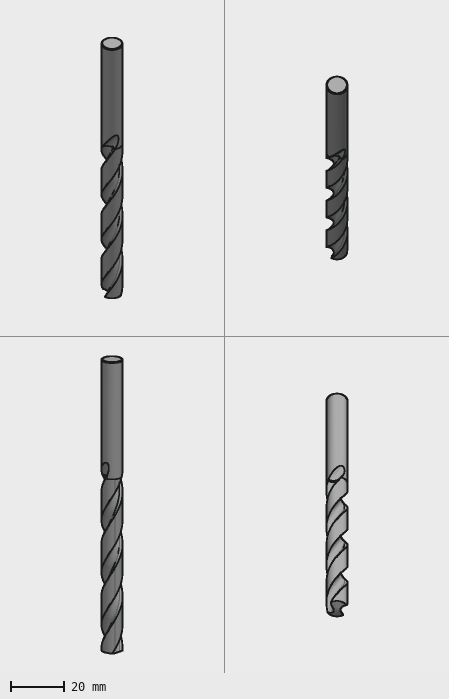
import cadquery as cq
import math

total_length = 116.0
diameter = 8.0
bit_length = 70.0
flute_pitch = 41.1
flute_radius = 3.2
flute_depth = 2.0
groove_radius = 2.2
groove_depth = 2.8
groove_side_shift = 0.5
point_height = 1.5
top_chamfer = 0.3
runout_height = 9.3
runout_lean = 38.0

radius = diameter / 2
shank_length = total_length - bit_length
twist_angle = 360 * bit_length / flute_pitch
flute_offset = radius - flute_depth + flute_radius
groove_offset = radius - groove_depth + groove_radius
runout_shift = runout_height * math.tan(math.radians(runout_lean))
flute_sides = (-1, 1)


def make_helical_cutter(x, y, cutter_radius):
    """Round-section helical cutter centered on (x, y) at the top of the bit."""
    return (
        cq.Workplane("XY")
        .pushPoints([(x, y)])
        .circle(cutter_radius)
        .twistExtrude(bit_length, twist_angle)
        .rotate((0, 0, 0), (0, 0, 1), -twist_angle)
    )


def make_bit():
    """Two-flute bit with grooved flute floors, ending in a conical point at the origin."""
    bit = (
        cq.Workplane("XZ")
        .polyline([(0, 0), (radius, point_height), (radius, bit_length), (0, bit_length)])
        .close()
        .revolve(360, (0, 0), (0, 1))
    )
    for side in flute_sides:
        flute = make_helical_cutter(0, side * flute_offset, flute_radius)
        groove = make_helical_cutter(side * groove_side_shift, side * groove_offset, groove_radius)
        bit = bit.cut(flute).cut(groove)
    return bit


def make_runout(side):
    """Straight, leaning continuation of a flute running out through the shank side."""
    return (
        cq.Workplane("XY", origin=(0, side * flute_offset, bit_length))
        .circle(flute_radius)
        .workplane(offset=runout_height)
        .center(-side * runout_shift, 0)
        .circle(flute_radius)
        .loft(ruled=True)
    )


def make_shank():
    """Round shank with a chamfered top and two flute runouts at its lower end."""
    shank = (
        cq.Workplane("XY", origin=(0, 0, bit_length))
        .circle(radius)
        .extrude(shank_length)
        .faces(">Z")
        .chamfer(top_chamfer)
    )
    for side in flute_sides:
        shank = shank.cut(make_runout(side))
    return shank


bit = make_bit()
shank = make_shank()
result = cq.Compound.makeCompound([bit.val(), shank.val()])